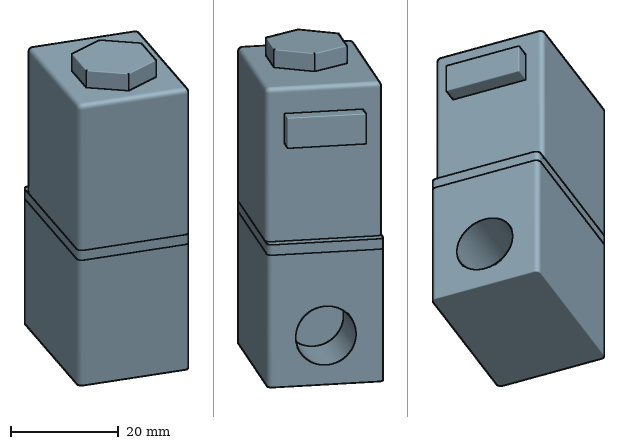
import cadquery as cq

total_height = 61.0
total_length = 31.0
width = 22.0
corner_radius = 1.0
edge_radius = 0.2

block_length = 30.0
plate_thickness = 2.0
plate_top = 27.75
block_height = plate_top - plate_thickness

port_diameter = 11.4
port_depth = 12.2
port_center_height = 9.6

coil_length = 28.0
head_height = 3.5
coil_top = total_height - head_height
coil_height = coil_top - plate_top
head_corner_diameter = 16.0
head_center_to_back = 11.0

tab_projection = total_length - coil_length
tab_width = 14.95
tab_height = 5.9
tab_center_height = 49.55


def rounded_block(length, height, base_height):
    """Upright block ending at the back face, with rounded vertical edges."""
    return (
        cq.Workplane("XY", origin=(-length / 2, 0, base_height))
        .box(length, width, height, centered=(True, True, False))
        .edges("|Z")
        .fillet(corner_radius)
    )


def make_valve_block():
    """Lower block with a rounded base and a blind port."""
    block = rounded_block(block_length, block_height, 0).faces("<Z").fillet(edge_radius)
    port = (
        cq.Workplane("YZ", origin=(-block_length, 0, port_center_height))
        .circle(port_diameter / 2)
        .extrude(port_depth)
    )
    return block.cut(port)


def make_plate():
    """Thin plate between the valve block and the coil housing."""
    return rounded_block(block_length, plate_thickness, block_height)


def make_hex_head():
    """Hexagonal head with two corners along X and a rounded top."""
    return (
        cq.Workplane("XY", origin=(-head_center_to_back, 0, coil_top))
        .polygon(6, head_corner_diameter)
        .extrude(head_height)
        .faces(">Z")
        .fillet(edge_radius)
    )


def make_connector_tab():
    """Rectangular tab with all edges rounded except those at the housing."""
    return (
        cq.Workplane("YZ", origin=(-total_length, 0, tab_center_height))
        .rect(tab_width, tab_height)
        .extrude(tab_projection)
        .edges("not >X")
        .fillet(edge_radius)
    )


def make_coil():
    """Coil housing with a rounded top rim, its hexagonal head and its connector tab."""
    housing = rounded_block(coil_length, coil_height, plate_top).faces(">Z").edges().fillet(corner_radius)
    return housing.union(make_hex_head()).union(make_connector_tab())


valve_block = make_valve_block()
plate = make_plate()
coil = make_coil()

result = cq.Compound.makeCompound([valve_block.solids().val(), plate.solids().val(), coil.solids().val()])